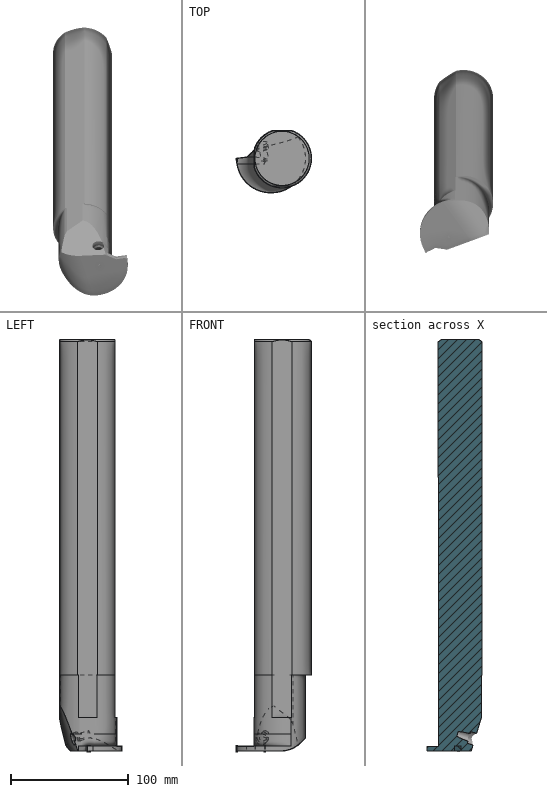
import cadquery as cq
import math


total_length = 350.0
shank_radius = 25.0
flat_distance = 23.5
top_chamfer = 2.0

neck_top = 65.4
neck_radius = 24.75
neck_center = (0.0, -0.28)
flat_end = 29.5
side_flat_distance = 23.85
root_height = 15.3
root_radius = 24.5
root_center = (0.0, -0.6)

blade_bottom = 0.9
blade_top = 5.2
clearance_radius = 29.3
clearance_center_x = -9.4
insert_seat_y = -4.7

corner_radius = 24.0
corner_line_x = 15.8
corner_reach = 40.0

clamp_face_point = (-8.0, flat_distance, 40.0)
clamp_face_normal = (-0.24, 1.0, -0.305)
screw_x = -17.5
screw_z = 11.0
counterbore_diameter = 10.01
counterbore_depth = 5.0
screw_diameter = 6.07
screw_depth = 15.0

insert_length = 25.0
overall_width = 64.1
insert_tip_x = shank_radius - overall_width
insert_top_y = 1.0
insert_rake_y = 0.0
rake_length = 8.0
tip_thickness = 5.45
tip_length = 1.2
tip_base_y = -2.5
insert_end_relief = 0.8

jaw_tip_x = -30.0
jaw_root_x = -22.0
jaw_root_y = 8.5

big = 200.0


def cylinder(radius, bottom, top, center=(0, 0)):
    return cq.Workplane("XY", origin=(*center, bottom)).circle(radius).extrude(top - bottom)


def box(x_range, y_range, z_range):
    sizes = [high - low for low, high in (x_range, y_range, z_range)]
    corner = (x_range[0], y_range[0], z_range[0])
    return cq.Workplane("XY").box(*sizes, centered=False).translate(corner)


def clearance_cylinder(bottom, top):
    return cylinder(clearance_radius, bottom, top, (clearance_center_x, 0))


def make_shank():
    shank = cylinder(shank_radius, neck_top, total_length).faces(">Z").chamfer(top_chamfer)
    flats = box((-flat_distance, big), (-flat_distance, flat_distance), (neck_top, total_length))
    return shank.intersect(flats)


def make_neck():
    upper = cylinder(neck_radius, flat_end, neck_top, neck_center).intersect(
        box((-flat_distance, big), (-flat_distance, flat_distance), (flat_end, neck_top)))
    middle = cylinder(neck_radius, root_height, flat_end, neck_center)
    root = cylinder(root_radius, blade_bottom, root_height, root_center)
    lower = middle.union(root).intersect(
        box((-side_flat_distance, big), (-big, flat_distance), (blade_bottom, flat_end)))
    return upper.union(lower).intersect(clearance_cylinder(blade_bottom, neck_top))


def make_blade():
    below_insert = box((-big, big), (-big, insert_seat_y), (blade_bottom, blade_top))
    return clearance_cylinder(blade_bottom, blade_top).intersect(below_insert)


def make_jaw():
    return (
        cq.Workplane("XY", origin=(0, 0, blade_bottom))
        .moveTo(jaw_root_x, insert_seat_y)
        .lineTo(jaw_tip_x, insert_seat_y)
        .lineTo(jaw_tip_x, insert_top_y)
        .lineTo(jaw_root_x, jaw_root_y)
        .close()
        .extrude(blade_top - blade_bottom)
    )


def corner_cutter():
    slope_angle = math.radians(45)
    rise = corner_radius * (1 - math.cos(slope_angle))
    run = corner_radius * math.sin(slope_angle)
    start_x = corner_line_x - run
    middle_angle = slope_angle / 2
    middle = (start_x + corner_radius * math.sin(middle_angle),
              blade_bottom + corner_radius * (1 - math.cos(middle_angle)))
    return (
        cq.Workplane("XZ")
        .moveTo(start_x, blade_bottom)
        .threePointArc(middle, (corner_line_x, blade_bottom + rise))
        .lineTo(corner_line_x + corner_reach, blade_bottom + rise + corner_reach)
        .lineTo(corner_line_x + corner_reach, blade_bottom)
        .close()
        .extrude(big, both=True)
    )


def clamp_face_cutter():
    plane = cq.Plane(origin=clamp_face_point, normal=clamp_face_normal)
    return cq.Workplane(plane).rect(big, big).extrude(big)


def screw_hole_cutter():
    nx, ny, nz = clamp_face_normal
    px, py, pz = clamp_face_point
    screw_y = py - (nx * (screw_x - px) + nz * (screw_z - pz)) / ny
    plane = cq.Plane(origin=(screw_x, screw_y, screw_z), normal=clamp_face_normal)
    counterbore = cq.Workplane(plane).circle(counterbore_diameter / 2).extrude(-counterbore_depth)
    hole = cq.Workplane(plane).circle(screw_diameter / 2).extrude(-screw_depth)
    return counterbore.union(hole)


def make_insert():
    tail_x = insert_tip_x + insert_length
    outline = [
        (insert_tip_x, insert_rake_y),
        (insert_tip_x + rake_length, insert_top_y),
        (tail_x - rake_length, insert_top_y),
        (tail_x, insert_rake_y),
        (tail_x - insert_end_relief, insert_seat_y),
        (insert_tip_x + insert_end_relief, insert_seat_y),
    ]
    profile = cq.Workplane("XY").polyline(outline).close()
    full = profile.extrude(tip_thickness)
    envelope = box((-big, big), (-big, big), (blade_bottom, blade_top))
    for tip_start in (insert_tip_x, tail_x - tip_length):
        tip = box((tip_start, tip_start + tip_length), (tip_base_y, big), (0, tip_thickness))
        envelope = envelope.union(tip)
    return full.intersect(envelope)


insert = make_insert()

holder = make_shank().union(make_neck()).union(make_blade()).union(make_jaw())
holder = holder.cut(corner_cutter()).cut(clamp_face_cutter()).cut(screw_hole_cutter()).cut(insert)

result = cq.Compound.makeCompound([holder.val(), insert.val()])